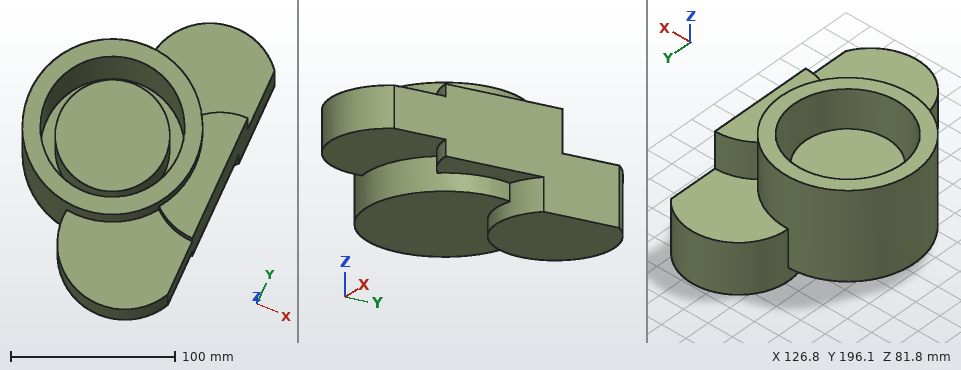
import cadquery as cq

cup_radius = 55.0
cup_bottom = 10.5
cup_top = 81.8

bore_radius = 44.0
pedestal_radius = 35.0
pedestal_depth = 24.0
floor_thickness = cup_radius - bore_radius
bore_bottom = cup_bottom + floor_thickness

flat_x = 71.8
disc_radius = 41.2
rear_disc = {"x": 40.5, "y": 54.5, "bottom": 0.0, "top": 40.8}
middle_disc = {"x": flat_x, "y": 0, "bottom": 22.5, "top": 69.8}
front_disc = {"x": 35.0, "y": -59.2, "bottom": 33.5, "top": 61.8}


def cylinder(radius, bottom, top, x=0, y=0):
    """Upright cylinder between two heights."""
    return cq.Workplane("XY", origin=(x, y, bottom)).circle(radius).extrude(top - bottom)


body = cylinder(cup_radius, cup_bottom, cup_top)
for disc in (rear_disc, middle_disc, front_disc):
    body = body.union(cylinder(disc_radius, **disc))

trim_size = 4 * disc_radius + 2 * cup_radius
trim = cq.Workplane("XY").box(trim_size, trim_size, trim_size).translate((flat_x + trim_size / 2, 0, 0))
body = body.cut(trim)

bore = cylinder(bore_radius, bore_bottom, cup_top)
pedestal = cylinder(pedestal_radius, bore_bottom, cup_top - pedestal_depth)
result = body.cut(bore.cut(pedestal))